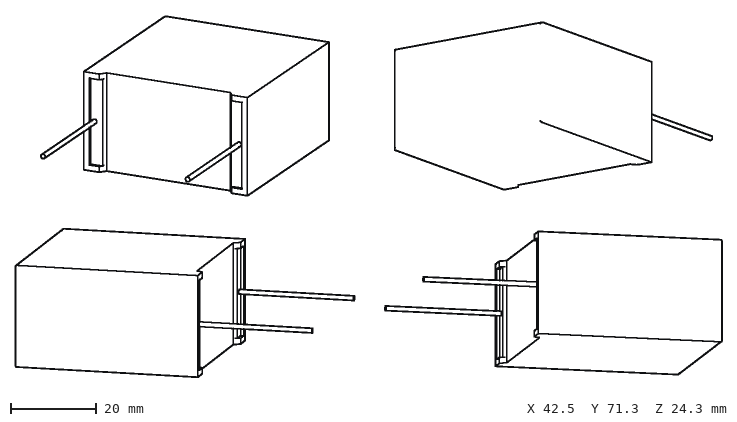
import cadquery as cq


case_width = 42.5
case_height = 24.3
overall_length = 71.3
lead_length = 27.0
case_length = overall_length - lead_length
back_edge_radius = 0.5

foot_width = 4.05
notch_depth = 1.5
notch_slope_run = 1.15
notch_mouth_x = case_width / 2 - foot_width
notch_floor_x = notch_mouth_x - notch_slope_run

wall = 1.4
fill_recess = 0.7
fill_width = case_width - 2 * wall
fill_height = case_height - 2 * wall
fill_core_front = notch_depth + wall
fill_core_back = case_length - wall

window_outer_x = fill_width / 2
window_inner_x = notch_mouth_x - notch_slope_run * fill_recess / notch_depth
window_width = window_outer_x - window_inner_x
window_center_x = (window_outer_x + window_inner_x) / 2

lead_diameter = 1.15
lead_spacing = 37.5

sides = (-1, 1)


def block(width, height, start_y, end_y, center_x=0):
    """Box centred on center_x and on Z = 0 that runs from start_y to end_y."""
    return (
        cq.Workplane("XY", origin=(center_x, start_y, 0))
        .box(width, end_y - start_y, height, centered=(True, False, True))
    )


def make_filled_space(window_start_y):
    """Core chamber of the case joined to the two window shafts, which begin at window_start_y."""
    space = block(fill_width, fill_height, fill_core_front, fill_core_back)
    for side in sides:
        shaft = block(window_width, fill_height, window_start_y, fill_core_front, side * window_center_x)
        space = space.union(shaft)
    return space


def make_notch():
    """Trapezoidal channel along Z that leaves a foot at each side of the front end."""
    return (
        cq.Workplane("XY")
        .polyline([
            (-notch_mouth_x, 0),
            (-notch_floor_x, notch_depth),
            (notch_floor_x, notch_depth),
            (notch_mouth_x, 0),
        ])
        .close()
        .extrude(case_height / 2, both=True)
    )


def make_case():
    """Hollow box with rounded back edges and a window through each foot."""
    shell = block(case_width, case_height, 0, case_length)
    shell = shell.faces(">Y").edges().fillet(back_edge_radius)
    return shell.cut(make_notch()).cut(make_filled_space(0))


def make_fill():
    """Potting that fills the chamber and shows in both windows, set back from the feet."""
    return make_filled_space(fill_recess)


def make_lead(x):
    """Round wire that stands on the face of the fill and points toward -Y."""
    return (
        cq.Workplane("XZ", origin=(x, fill_recess, 0))
        .circle(lead_diameter / 2)
        .extrude(lead_length + fill_recess)
    )


case = make_case()
fill = make_fill()
leads = [make_lead(side * lead_spacing / 2) for side in sides]

result = cq.Compound.makeCompound([case.val(), fill.val(), *[lead.val() for lead in leads]])